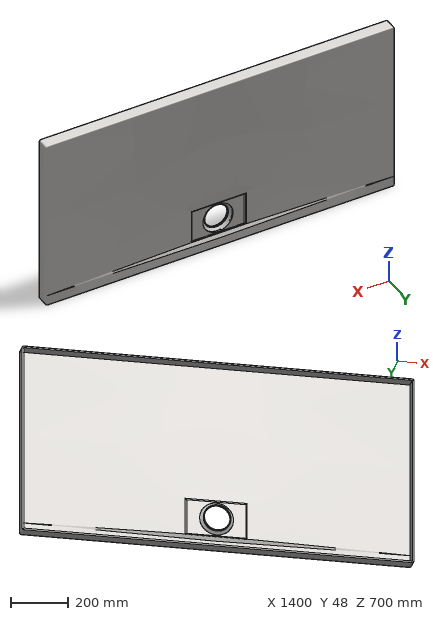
import cadquery as cq

length = 1400.0
depth = 48.0
height = 700.0
wall = 6.0
floor_thickness = 6.0
corner_radius = 7.0
top_edge_radius = 4.0

half_inside_length = length / 2 - wall
inside_top = height / 2 - wall
inside_bottom = -inside_top
rim_y = depth / 2 - floor_thickness

drain_z = -236.0
bore_radius = 46.0
collar_base_radius = 60.5
collar_tip_radius = 49.0
collar_height = 13.0
boss_base_y = 8.0
boss_face_y = 1.5
boss_base_half_width = 111.0
boss_face_half_width = 105.0
boss_base_top = -164.0
boss_face_top = -172.0
floor_bottom = -300.0

rim_seam = (-half_inside_length, rim_y, 24.0)
rim_top_corner = (-half_inside_length, rim_y, inside_top)
rim_low_corner = (-half_inside_length, rim_y, -306.0)
ridge = (-333.0, 13.0, 20.0)
top_seam = (-length / 4, rim_y, inside_top)
top_middle = (0.0, rim_y, inside_top)
crown = (0.0, 12.0, 115.0)
floor_low_seam = (-428.0, 14.0, -302.0)
apron_corner = (-133.0, 8.8, -146.0)
apron_crown = (0.0, 8.9, -124.0)
apron_foot = (-152.0, 8.9, floor_bottom)
apron_top_split = (-101.0, 8.9, -134.0)
apron_side_split = (-140.0, 8.8, -175.0)
boss_corner = (-boss_base_half_width, boss_base_y, boss_base_top)
boss_top_middle = (0.0, boss_base_y, boss_base_top)
boss_top_split = (apron_top_split[0], boss_base_y, boss_base_top)
boss_side_split = (-boss_base_half_width, boss_base_y, apron_side_split[2])
boss_foot = (-boss_base_half_width, boss_base_y, floor_bottom)
boss_foot_middle = (0.0, boss_base_y, floor_bottom)

top_rib_middle = (-345.0, 15.6, 180.0)
crown_arc_middle = (-167.0, 12.3, 86.0)
side_arc_middle = (-398.0, 13.5, -142.0)
apron_top_middle = (-51.0, 8.9, -126.0)
apron_side_middle = (-148.0, 8.9, -225.0)

ledge_y = 16.5
ledge_top = -314.0
ledge_flat_x = -586.0
ledge_dip_x = -540.0
ledge_flat_end = (ledge_flat_x, 17.5, -307.0)
ledge_dip_end = (ledge_dip_x, ledge_y, -308.0)
ledge_middle = (0.0, ledge_y, ledge_top)


def line(start, end):
    return cq.Edge.makeLine(cq.Vector(*start), cq.Vector(*end))


def arc(start, through, end):
    return cq.Edge.makeThreePointArc(cq.Vector(*start), cq.Vector(*through), cq.Vector(*end))


def thicken(surface):
    """Slab of floor reaching from the underside surface along +Y."""
    return cq.Solid.extrudeLinear(surface, cq.Vector(0, floor_thickness, 0))


def ruled_panel(first, second):
    """Slab of floor with straight rulings between two edges running the same way."""
    return thicken(cq.Face.makeRuledSurface(first, second))


def panel(edges):
    """Slab of floor whose underside spans a closed ring of edges."""
    return thicken(cq.Face.makeNSidedSurface(edges, []))


def polygon_panel(*corners):
    """Slab of floor bounded by straight edges between the corners."""
    ends = corners[1:] + corners[:1]
    return panel([line(start, end) for start, end in zip(corners, ends)])


def point_at_x(start, end, x):
    """Point on the straight line from start to end at the given x."""
    share = (x - start[0]) / (end[0] - start[0])
    return tuple(a + share * (b - a) for a, b in zip(start, end))


def make_rim():
    outer = cq.Workplane("XY").box(length, depth, height)
    outer = outer.edges("|Y").fillet(corner_radius)
    outer = outer.faces(">Y").edges().fillet(top_edge_radius)
    inner = cq.Workplane("XY").box(length - 2 * wall, depth, height - 2 * wall)
    return outer.cut(inner)


def sloping_panels():
    """Left half of the floor that falls towards the drain."""
    top_rib = arc(ridge, top_rib_middle, top_seam)
    crown_arc = arc(ridge, crown_arc_middle, crown)
    side_arc = arc(floor_low_seam, side_arc_middle, ridge)
    apron_top = arc(apron_top_split, apron_top_middle, apron_crown)
    apron_top_corner = line(apron_corner, apron_top_split)
    apron_side = arc(apron_side_split, apron_side_middle, apron_foot)
    apron_side_corner = line(apron_corner, apron_side_split)
    diagonal = line(ridge, apron_corner)
    return [
        ruled_panel(line(rim_seam, rim_top_corner), top_rib),
        ruled_panel(line(rim_low_corner, rim_seam), side_arc),
        panel([top_rib, crown_arc, line(crown, top_middle), line(top_middle, top_seam)]),
        panel([crown_arc, line(crown, apron_crown), apron_top, apron_top_corner, diagonal]),
        panel([side_arc, diagonal, apron_side_corner, apron_side, line(apron_foot, floor_low_seam)]),
        ruled_panel(apron_top, line(boss_top_split, boss_top_middle)),
        ruled_panel(apron_top_corner, line(boss_corner, boss_top_split)),
        ruled_panel(apron_side_corner, line(boss_corner, boss_side_split)),
        ruled_panel(apron_side, line(boss_side_split, boss_foot)),
    ]


def ledge_panels():
    """Left half of the ledge and of the step up to the sloping floor."""
    outer_foot = [
        rim_low_corner,
        point_at_x(rim_low_corner, floor_low_seam, ledge_flat_x),
        point_at_x(rim_low_corner, floor_low_seam, ledge_dip_x),
    ]
    inner_foot = [floor_low_seam, apron_foot, boss_foot, boss_foot_middle]
    floor_foot = outer_foot + inner_foot
    ledge_edge = [rim_low_corner, ledge_flat_end, ledge_dip_end]
    for foot in inner_foot:
        ledge_edge.append(point_at_x(ledge_dip_end, ledge_middle, foot[0]))

    panels = [polygon_panel(floor_foot[0], floor_foot[1], ledge_edge[1])]
    for i in range(1, len(floor_foot) - 1):
        panels.append(polygon_panel(floor_foot[i], floor_foot[i + 1], ledge_edge[i + 1], ledge_edge[i]))

    ledge_stations = [rim_low_corner, ledge_flat_end, ledge_dip_end, ledge_middle]
    for start, end in zip(ledge_stations, ledge_stations[1:]):
        rim_start = (start[0], rim_y, inside_bottom)
        rim_end = (end[0], rim_y, inside_bottom)
        panels.append(polygon_panel(start, end, rim_end, rim_start))
    return panels


def boss_section(half_width, top, y):
    corners = [(-half_width, floor_bottom), (half_width, floor_bottom), (half_width, top), (-half_width, top)]
    return cq.Wire.makePolygon([cq.Vector(x, y, z) for x, z in corners], close=True)


def make_boss_taper():
    base = boss_section(boss_base_half_width, boss_base_top, boss_base_y)
    face = boss_section(boss_face_half_width, boss_face_top, boss_face_y)
    return cq.Solid.makeLoft([base, face], True)


def make_collar():
    start = cq.Vector(0, boss_face_y, drain_z)
    return cq.Solid.makeCone(collar_base_radius, collar_tip_radius, collar_height, start, cq.Vector(0, -1, 0))


def make_drain():
    """Tapered boss with a conical collar, hollowed from +Y to the floor thickness."""
    base = cq.Face.makeFromWires(boss_section(boss_base_half_width, boss_base_top, boss_base_y))
    block = cq.Solid.extrudeLinear(base, cq.Vector(0, floor_thickness, 0))
    outside = cq.Workplane(make_boss_taper()).union(cq.Workplane(make_collar()))
    hollow = outside.translate((0, floor_thickness, 0))
    bore = cq.Solid.makeCylinder(bore_radius, depth, cq.Vector(0, -depth / 2, drain_z), cq.Vector(0, 1, 0))
    return outside.union(cq.Workplane(block)).cut(hollow).cut(cq.Workplane(bore))


result = make_rim().union(make_drain())
for slab in sloping_panels() + ledge_panels():
    result = result.union(cq.Workplane(slab))
    result = result.union(cq.Workplane(slab.mirror("YZ")))